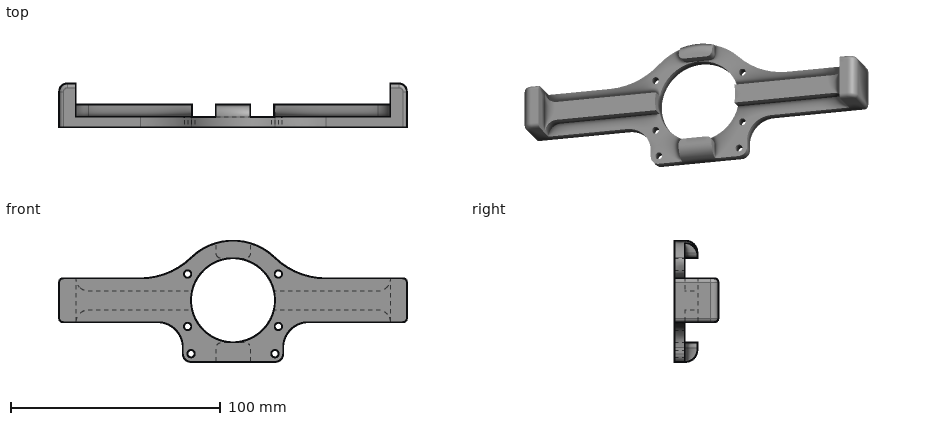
import cadquery as cq
import math

plate_thickness = 5.0
overall_depth = 21.0
arm_half_length = 83.0
arm_half_height = 10.5
bore_radius = 20.0
ring_radius = 28.5
shoulder_radius = 35.0

tab_half_width = 24.0
tab_bottom = -29.5
tab_corner_radius = 4.0
tab_blend_radius = 12.0

end_wall_thickness = 8.0
end_wall_corner_radius = 4.0
edge_round_radius = 2.0

raised_height = 6.0
rib_half_height = 4.5
rib_flare_radius = 6.0
post_half_width = 8.25
post_inner_distance = 20.1
post_inner_corner_radius = 2.6
post_crown_radius = 5.95

screw_hole_diameter = 3.4
ring_hole_circle_radius = 25.0
ring_hole_angle = math.radians(30)

raised_top = plate_thickness + raised_height
end_wall_inner_x = arm_half_length - end_wall_thickness


def sketch_plane(y):
    """XZ workplane at depth y; its normal points toward -Y."""
    return cq.Workplane("XZ", origin=(0, y, 0))


def extrude_back(profile, depth):
    """Extrude an XZ profile toward +Y."""
    return profile.extrude(-depth)


def make_center_plate():
    """Plate whose outline joins the ring, the blends into both arms and the lower tab."""
    blend_center_z = arm_half_height + shoulder_radius
    blend_center_x = math.sqrt((ring_radius + shoulder_radius) ** 2 - blend_center_z**2)
    tangent_ratio = ring_radius / (ring_radius + shoulder_radius)
    tangent_x = blend_center_x * tangent_ratio
    tangent_z = blend_center_z * tangent_ratio
    tab_blend_x = tab_half_width + tab_blend_radius
    tab_blend_z = -arm_half_height - tab_blend_radius
    profile = (
        sketch_plane(0)
        .moveTo(-blend_center_x, arm_half_height)
        .radiusArc((-tangent_x, tangent_z), -shoulder_radius)
        .radiusArc((tangent_x, tangent_z), ring_radius)
        .radiusArc((blend_center_x, arm_half_height), -shoulder_radius)
        .lineTo(blend_center_x, -arm_half_height)
        .lineTo(tab_blend_x, -arm_half_height)
        .radiusArc((tab_half_width, tab_blend_z), -tab_blend_radius)
        .lineTo(tab_half_width, tab_bottom + tab_corner_radius)
        .radiusArc((tab_half_width - tab_corner_radius, tab_bottom), tab_corner_radius)
        .lineTo(tab_corner_radius - tab_half_width, tab_bottom)
        .radiusArc((-tab_half_width, tab_bottom + tab_corner_radius), tab_corner_radius)
        .lineTo(-tab_half_width, tab_blend_z)
        .radiusArc((-tab_blend_x, -arm_half_height), -tab_blend_radius)
        .lineTo(-blend_center_x, -arm_half_height)
        .close()
    )
    return extrude_back(profile, plate_thickness)


def make_arm_bar():
    """Straight bar with a wall standing at each end and rounded outer edges."""
    bar = (
        cq.Workplane("XY", origin=(0, 0, -arm_half_height))
        .moveTo(-arm_half_length, 0)
        .lineTo(arm_half_length, 0)
        .lineTo(arm_half_length, overall_depth)
        .lineTo(end_wall_inner_x, overall_depth)
        .lineTo(end_wall_inner_x, plate_thickness)
        .lineTo(-end_wall_inner_x, plate_thickness)
        .lineTo(-end_wall_inner_x, overall_depth)
        .lineTo(-arm_half_length, overall_depth)
        .close()
        .extrude(2 * arm_half_height)
    )
    bar = bar.edges("(<X or >X) and >Y and |Z").fillet(end_wall_corner_radius)
    return bar.faces("<X or >X").edges("|Y").fillet(edge_round_radius)


def make_rib(side):
    """Rib behind one arm, from the bore out to the end wall, flaring where it meets the wall."""
    flare_start_x = end_wall_inner_x - rib_flare_radius
    flare_top = rib_half_height + rib_flare_radius
    profile = (
        sketch_plane(plate_thickness)
        .moveTo(0, -rib_half_height)
        .lineTo(side * flare_start_x, -rib_half_height)
        .radiusArc((side * end_wall_inner_x, -flare_top), side * rib_flare_radius)
        .lineTo(side * end_wall_inner_x, flare_top)
        .radiusArc((side * flare_start_x, rib_half_height), side * rib_flare_radius)
        .lineTo(0, rib_half_height)
        .close()
    )
    return extrude_back(profile, raised_height)


def make_post_block(side, outer_distance):
    """Block above or below the bore with rounded corners on the side facing the bore."""
    height = outer_distance - post_inner_distance
    middle_z = side * (post_inner_distance + height / 2)
    profile = sketch_plane(plate_thickness).center(0, middle_z).rect(2 * post_half_width, height)
    block = extrude_back(profile, raised_height)
    inner_face = "<Z" if side > 0 else ">Z"
    return block.faces(inner_face).edges("|Y").fillet(post_inner_corner_radius)


def make_upper_post():
    """Post on the ring, following the ring's outer radius with a rounded crown."""
    crown = extrude_back(sketch_plane(plate_thickness).circle(ring_radius), raised_height)
    crown = crown.faces(">Y").edges().fillet(post_crown_radius)
    return make_post_block(1, ring_radius).intersect(crown)


def make_lower_post():
    """Post on the tab, with a straight rounded crown along the tab's bottom edge."""
    post = make_post_block(-1, -tab_bottom)
    return post.edges(">Y and <Z").fillet(post_crown_radius)


def make_holes():
    """Bore and screw holes, all through the plate along Y."""
    ring_x = ring_hole_circle_radius * math.cos(ring_hole_angle)
    ring_z = ring_hole_circle_radius * math.sin(ring_hole_angle)
    tab_x = tab_half_width - tab_corner_radius
    tab_z = tab_bottom + tab_corner_radius
    bore = sketch_plane(0).circle(bore_radius)
    ring_holes = sketch_plane(0).rect(2 * ring_x, 2 * ring_z, forConstruction=True).vertices()
    ring_holes = ring_holes.circle(screw_hole_diameter / 2)
    tab_holes = sketch_plane(0).pushPoints([(-tab_x, tab_z), (tab_x, tab_z)])
    tab_holes = tab_holes.circle(screw_hole_diameter / 2)
    holes = extrude_back(bore, raised_top)
    holes = holes.union(extrude_back(ring_holes, raised_top))
    return holes.union(extrude_back(tab_holes, raised_top))


body = make_arm_bar().union(make_center_plate())
for side in (-1, 1):
    body = body.union(make_rib(side))
body = body.union(make_upper_post()).union(make_lower_post())
result = body.cut(make_holes())